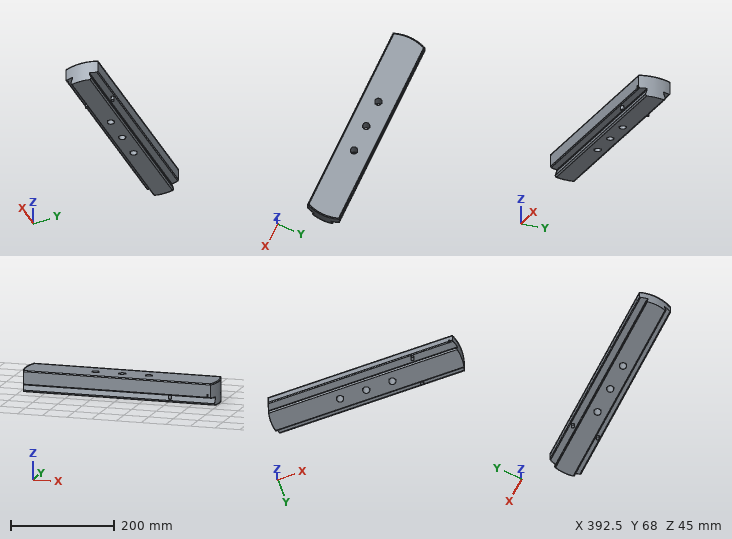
import cadquery as cq
import math

length = 392.5
width = 68.0
height = 45.0
end_radius = 90.0

head_bottom = 16.5
top_chamfer = 2.0
head_lower_chamfer = 2.0

neck_width = 36.0
neck_bottom = 13.7
foot_width = 43.0
foot_widest_height = 3.5
foot_base_width = 38.5

hole_diameter = 13.7
hole_spacing = 53.8

pin_diameter = 6.3
pin_x = 105.2
pin_y = 27.0
pin_bottom = 8.2

slit_x = 183.0
slit_width = 1.5
slit_top = 24.0
slit_depth = 2.5


def rail_body():
    """Head and dovetail section, extruded along X."""
    half_profile = [
        (width / 2, height),
        (width / 2, head_bottom + head_lower_chamfer),
        (width / 2 - head_lower_chamfer, head_bottom),
        (neck_width / 2, head_bottom),
        (neck_width / 2, neck_bottom),
        (foot_width / 2, foot_widest_height),
        (foot_base_width / 2, 0),
    ]
    mirrored = [(-y, z) for y, z in reversed(half_profile)]
    return cq.Workplane("YZ").polyline(half_profile + mirrored).close().extrude(length / 2, both=True)


def rounded_end_block():
    """Plan outline with an outward arc at each end."""
    end_bulge = end_radius - math.sqrt(end_radius**2 - (width / 2) ** 2)
    side_x = length / 2 - end_bulge
    return (
        cq.Workplane("XY")
        .moveTo(-side_x, -width / 2)
        .lineTo(side_x, -width / 2)
        .threePointArc((length / 2, 0), (side_x, width / 2))
        .lineTo(-side_x, width / 2)
        .threePointArc((-length / 2, 0), (-side_x, -width / 2))
        .close()
        .extrude(height)
    )


def through_holes():
    centres = [(-hole_spacing, 0), (0, 0), (hole_spacing, 0)]
    return cq.Workplane("XY").pushPoints(centres).circle(hole_diameter / 2).extrude(height)


def stop_pins():
    """Two pins that end flush with the underside of the head."""
    return (
        cq.Workplane("XY", origin=(0, 0, pin_bottom))
        .pushPoints([(pin_x, -pin_y), (pin_x, pin_y)])
        .circle(pin_diameter / 2)
        .extrude(head_bottom - pin_bottom)
    )


def edge_slit():
    return cq.Workplane("XY").box(
        slit_width, slit_depth, slit_top - head_bottom, centered=(True, False, False)
    ).translate((slit_x, -width / 2, head_bottom))


rail = rail_body().intersect(rounded_end_block())
rail = rail.faces(">Z").edges().chamfer(top_chamfer)
result = rail.cut(through_holes()).cut(edge_slit()).union(stop_pins())